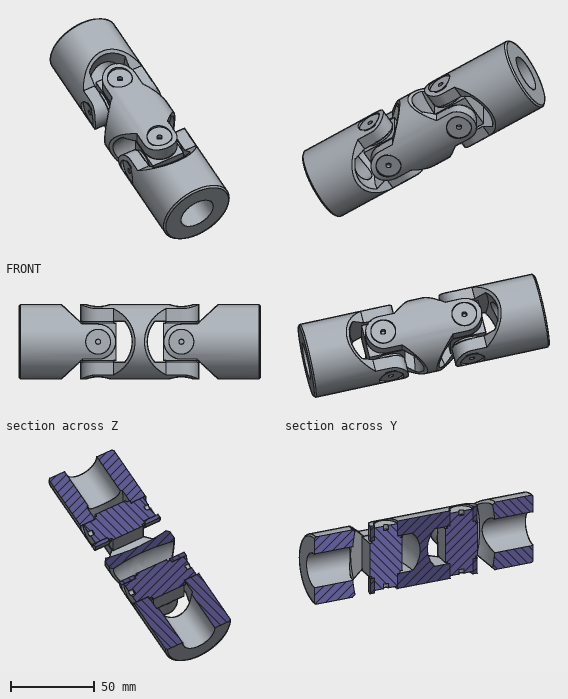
import cadquery as cq
import math


length = 145.0
body_diameter = 45.0
body_radius = body_diameter / 2
end_chamfer = 1.0
shaft_bore_diameter = 22.0

joint_spacing = 50.0
joint_offset = joint_spacing / 2

ear_width = 21.0
ear_radius = ear_width / 2
ear_gap = 24.5
pin_diameter = 15.0

slot_depth = 22.5
barrel_radius = 18.3
barrel_wall_radius = 104.4

shoulder_start = 9.3
shoulder_end = 22.2

cross_length = 21.8
cross_width = ear_width
cross_height = 22.3
boss_diameter = 19.0
pin_span = 41.6
center_hole_diameter = 3.0
center_hole_depth = 2.9

tool_size = 2 * body_diameter


def barrel():
    """Barrel about the Z axis, widest at mid-height, as tall as the body."""
    end_radius = barrel_radius - barrel_wall_radius + math.sqrt(barrel_wall_radius**2 - body_radius**2)
    return (
        cq.Workplane("XZ")
        .moveTo(0, -body_radius)
        .lineTo(end_radius, -body_radius)
        .threePointArc((barrel_radius, 0), (end_radius, body_radius))
        .lineTo(0, body_radius)
        .close()
        .revolve(360, (0, 0, 0), (0, 1, 0))
    )


def fork_cutter():
    """Material removed to form a fork at the origin with ears on +/-Y, stem towards -X."""
    shoulder_slope = (body_radius - ear_radius) / (shoulder_end - shoulder_start)
    tool_rise = tool_size - ear_radius
    ear_outline = (
        cq.Workplane("XZ")
        .moveTo(-shoulder_start - tool_rise / shoulder_slope, -tool_size)
        .lineTo(-shoulder_start, -ear_radius)
        .lineTo(0, -ear_radius)
        .threePointArc((ear_radius, 0), (0, ear_radius))
        .lineTo(-shoulder_start, ear_radius)
        .lineTo(-shoulder_start - tool_rise / shoulder_slope, tool_size)
        .close()
        .extrude(tool_size / 2, both=True)
    )
    around_ears = (
        cq.Workplane("XY")
        .box(tool_size, tool_size, tool_size)
        .translate((tool_size / 2 - shoulder_end, 0, 0))
        .cut(ear_outline)
    )

    barrel_axis = barrel_radius - slot_depth
    slot = cq.Workplane("XY").box(tool_size, ear_gap, tool_size)
    slot_end = slot.intersect(barrel().translate((barrel_axis, 0, 0)))
    open_slot = slot.translate((barrel_axis + tool_size / 2, 0, 0))

    pin_hole = cq.Workplane("XZ").circle(pin_diameter / 2).extrude(tool_size / 2, both=True)
    return around_ears.union(slot_end).union(open_slot).union(pin_hole)


def end_yoke():
    """Left end yoke: chamfered and bored hub with ears on +/-Y."""
    hub = (
        cq.Workplane("YZ", origin=(-length / 2, 0, 0))
        .circle(body_radius)
        .extrude(length / 2)
        .faces("<X")
        .chamfer(end_chamfer)
    )
    bore = cq.Workplane("YZ", origin=(-length / 2, 0, 0)).circle(shaft_bore_diameter / 2)
    bore = bore.extrude(length / 2 - joint_offset)
    return hub.cut(bore).cut(fork_cutter().translate((-joint_offset, 0, 0)))


def center_yoke():
    """Centre yoke: a fork at each end, with ears on +/-Z."""
    right_cutter = (
        fork_cutter()
        .rotate((0, 0, 0), (1, 0, 0), 90)
        .translate((joint_offset, 0, 0))
    )
    left_cutter = right_cutter.mirror("YZ")
    barrel_stock = cq.Workplane("YZ").circle(body_radius).extrude(length / 2, both=True)
    return barrel_stock.cut(right_cutter).cut(left_cutter)


def cross(x):
    """Cross at the given X: a block with shouldered pins along Y and Z."""
    body = cq.Workplane("XY").box(cross_length, cross_width, cross_height)
    for plane in ("XZ", "XY"):
        boss = cq.Workplane(plane).circle(boss_diameter / 2).extrude(ear_gap / 2, both=True)
        pin = cq.Workplane(plane).circle(pin_diameter / 2).extrude(pin_span / 2, both=True)
        body = body.union(boss).union(pin)
    for face in ("<Y", ">Y", "<Z", ">Z"):
        body = body.faces(face).workplane(centerOption="CenterOfMass")
        body = body.hole(center_hole_diameter, center_hole_depth)
    return body.translate((x, 0, 0))


left_yoke = end_yoke()
right_yoke = left_yoke.mirror("YZ")
middle_yoke = center_yoke()
crosses = [cross(x) for x in (-joint_offset, joint_offset)]

result = cq.Compound.makeCompound(
    [left_yoke.val(), right_yoke.val(), middle_yoke.val(), *[c.val() for c in crosses]]
)